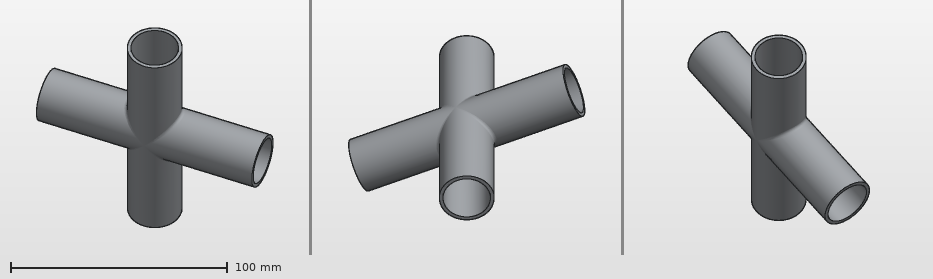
import cadquery as cq

length = 108.0
outer_diameter = 25.4
wall = 1.7
blend_radius = 1.5

inner_diameter = outer_diameter - 2 * wall


def crossed_cylinders(diameter):
    """Two equal cylinders along X and Z, crossing at their middles."""
    along_x = cq.Workplane("YZ").circle(diameter / 2).extrude(length / 2, both=True)
    along_z = cq.Workplane("XY").circle(diameter / 2).extrude(length / 2, both=True)
    return along_x.union(along_z)


def blended_corner(body):
    """The +X +Z quarter of the crossing, its inside corner rounded along the seam."""
    quarter_space = cq.Workplane("XY").box(length, length, length, centered=(False, True, False))
    quarter = body.intersect(quarter_space)
    seam = [edge for edge in quarter.edges().vals() if edge.geomType() == "ELLIPSE"]
    return quarter.newObject(seam).fillet(blend_radius)


outside = crossed_cylinders(outer_diameter)
corner = blended_corner(outside)
corner_count = 4
for index in range(corner_count):
    angle = index * 360 / corner_count
    rotated_corner = corner.rotate((0, 0, 0), (0, 1, 0), angle)
    outside = rotated_corner if index == 0 else outside.union(rotated_corner)

bores = crossed_cylinders(inner_diameter)
result = outside.cut(bores)